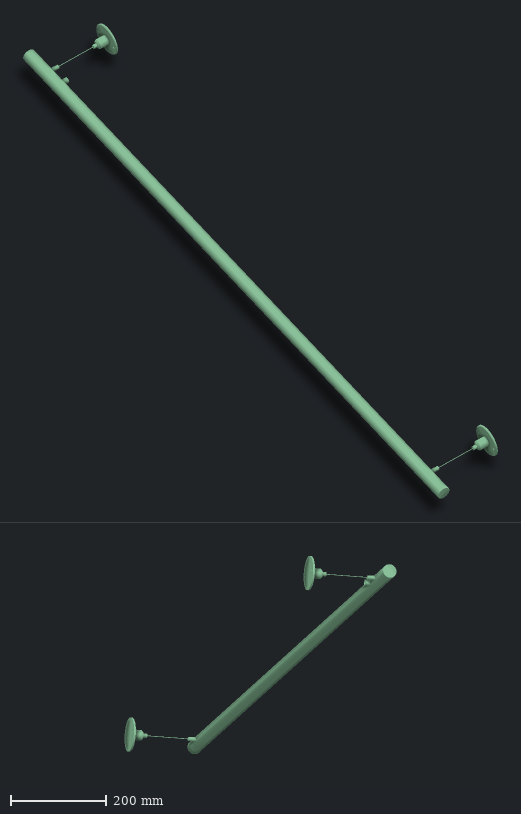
import cadquery as cq

tube_length = 1477.0
tube_diameter = 30.0
end_fillet = 0.7

outlet_inset = 103.0
outlet_diameter = 13.0
outlet_top_y = 25.0
outlet_bore_diameter = 9.7
outlet_bore_depth = 7.0

hanger_spacing = 1351.0
wall_y = 160.0
foot_diameter = 10.0
foot_seat_y = 12.0
foot_top_y = 22.0
neck_diameter = 9.0
neck_length = 9.0
cable_diameter = 1.0
boss_diameter = 22.0
boss_chamfer = 3.7
boss_end_y = 130.0

rose_diameter = 72.0
rose_thickness = 5.0
rose_chamfer = 1.0
screw_hole_diameter = 5.0
screw_hole_spacing = 53.0

tube_radius = tube_diameter / 2
half_length = tube_length / 2
outlet_x = outlet_inset - half_length
rose_front_y = wall_y - rose_thickness
upper_neck_y = boss_end_y - neck_length
lower_neck_y = foot_top_y + neck_length


def cylinder_y(diameter, x, y_start, y_end):
    """Round bar along +Y, centred on the given X, between two Y positions."""
    plane = cq.Plane(origin=(x, y_start, 0), xDir=(1, 0, 0), normal=(0, 1, 0))
    return cq.Workplane(plane).circle(diameter / 2).extrude(y_end - y_start)


def symmetric_places(center, spacing):
    """The two X positions at equal distances either side of a centre."""
    return (center - spacing / 2, center + spacing / 2)


def make_rose(x):
    rose = cylinder_y(rose_diameter, x, rose_front_y, wall_y).faces("<Y").chamfer(rose_chamfer)
    for hole_x in symmetric_places(x, screw_hole_spacing):
        rose = rose.cut(cylinder_y(screw_hole_diameter, hole_x, rose_front_y, wall_y))
    return rose


def make_hanger(x):
    """Wall plate, boss, cable with a neck at each end, and the foot in the tube."""
    boss = cylinder_y(boss_diameter, x, boss_end_y, rose_front_y).faces("<Y").chamfer(boss_chamfer)
    hanger = make_rose(x).union(boss)
    hanger = hanger.union(cylinder_y(neck_diameter, x, upper_neck_y, boss_end_y))
    hanger = hanger.union(cylinder_y(cable_diameter, x, lower_neck_y, upper_neck_y))
    hanger = hanger.union(cylinder_y(neck_diameter, x, foot_top_y, lower_neck_y))
    return hanger.union(cylinder_y(foot_diameter, x, foot_seat_y, foot_top_y))


def make_tube(seated_hangers):
    """Tube with its cable outlet and a recess for the foot of each hanger."""
    tube = cq.Workplane("YZ").circle(tube_radius).extrude(half_length, both=True)
    tube = tube.edges("%CIRCLE").fillet(end_fillet)
    tube = tube.union(cylinder_y(outlet_diameter, outlet_x, 0, outlet_top_y))
    bore_floor_y = outlet_top_y - outlet_bore_depth
    tube = tube.cut(cylinder_y(outlet_bore_diameter, outlet_x, bore_floor_y, outlet_top_y))
    for hanger in seated_hangers:
        tube = tube.cut(hanger)
    return tube


hangers = [make_hanger(x) for x in symmetric_places(0, hanger_spacing)]
tube = make_tube(hangers)

result = cq.Compound.makeCompound([tube.val(), *[hanger.val() for hanger in hangers]])